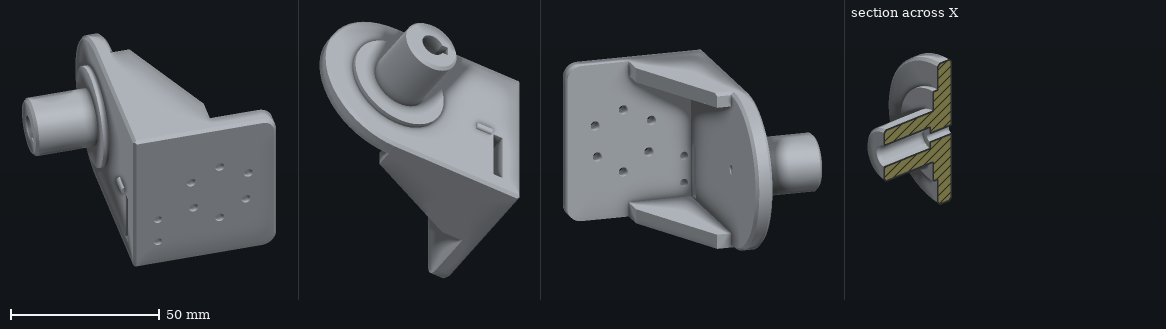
import cadquery as cq

EDGE_CHAMFER = 1.0

PLATE_RADIUS = 27.5
PLATE_THICKNESS = 6.0
RIGHT_X = 49.5
HEIGHT = 2 * PLATE_RADIUS

WALL_THICKNESS = 6.0
WALL_DEPTH = 50.0
WALL_CORNER_RADIUS = 5.0
WALL_INNER_X = RIGHT_X - WALL_THICKNESS

RIB_THICKNESS = 5.0
RIB_LOW_Y = 11.0
RIB_HIGH_Y = 28.2
RIB_SHOULDER_X = 35.5

FLANGE_DIAMETER = 35.0
FLANGE_THICKNESS = 2.0
SHAFT_DIAMETER = 20.0
SHAFT_END_Y = -23.4

BORE_DIAMETER = 8.2
BORE_DEPTH = 20.0
KEY_REACH = 6.0
KEY_WIDTH = 3.4
THROUGH_DIAMETER = 3.3

WINDOW_LEFT_X = 38.5
WINDOW_WIDTH = 3.6
WINDOW_TOP_Z = -3.3
WINDOW_HEIGHT = 18.6
BEAD_LEFT_X = 31.5
BEAD_LENGTH = 6.0
BEAD_RADIUS = 1.25
BEAD_Z = -2.85

SCREW_DIAMETER = 3.2
SCREW_CENTRES = [
    (30.1, 10.5),
    (40.1, 5.8),
    (20.1, 5.8),
    (39.3, -5.3),
    (21.0, -5.3),
    (30.1, -11.5),
]
PIN_DIAMETER = 2.8
PIN_CENTRES = [(8.5, -7.9), (8.5, -17.5)]


def box(x_min, x_max, y_min, y_max, z_min, z_max):
    size = (x_max - x_min, y_max - y_min, z_max - z_min)
    return cq.Workplane("XY").box(*size, centered=False).translate((x_min, y_min, z_min))


def cylinder_along_y(diameter, y_start, y_end):
    plane = cq.Workplane("XZ", origin=(0, y_end, 0))
    return plane.circle(diameter / 2).extrude(y_end - y_start)


def make_round_end():
    disc = cylinder_along_y(HEIGHT, 0, PLATE_THICKNESS).edges().chamfer(EDGE_CHAMFER)
    left_half = box(-PLATE_RADIUS, 0, 0, PLATE_THICKNESS, -PLATE_RADIUS, PLATE_RADIUS)
    return disc.intersect(left_half)


def make_bracket():
    """Return the square end of the plate, the wall and the two ribs, cut from one block."""
    block = box(0, RIGHT_X, 0, WALL_DEPTH, -PLATE_RADIUS, PLATE_RADIUS)
    block = block.edges("|X and >Y").fillet(WALL_CORNER_RADIUS)
    block = block.faces(">X").edges().chamfer(EDGE_CHAMFER)
    block = block.edges("|X and <Y").chamfer(EDGE_CHAMFER)
    profile = (
        cq.Workplane("XY", origin=(0, 0, -PLATE_RADIUS))
        .polyline([
            (0, 0),
            (RIGHT_X, 0),
            (RIGHT_X, WALL_DEPTH),
            (WALL_INNER_X, WALL_DEPTH),
            (WALL_INNER_X, RIB_HIGH_Y),
            (RIB_SHOULDER_X, RIB_HIGH_Y),
            (0, RIB_LOW_Y),
        ])
        .close()
        .extrude(HEIGHT)
    )
    block = block.intersect(profile)
    block = block.faces("<X").edges("|Y and >Z").chamfer(EDGE_CHAMFER)
    rib_inner_z = PLATE_RADIUS - RIB_THICKNESS
    cavity = box(0, WALL_INNER_X, PLATE_THICKNESS, WALL_DEPTH, -rib_inner_z, rib_inner_z)
    plate_end = box(0, WALL_INNER_X, 0, PLATE_THICKNESS - EDGE_CHAMFER, -PLATE_RADIUS, PLATE_RADIUS)
    plate_end = plate_end.edges("|X and <Y").chamfer(EDGE_CHAMFER)
    return block.cut(cavity).union(plate_end)


def make_shaft():
    flange = cylinder_along_y(FLANGE_DIAMETER, -FLANGE_THICKNESS, 0)
    shaft = cylinder_along_y(SHAFT_DIAMETER, SHAFT_END_Y, 0).faces("<Y").chamfer(EDGE_CHAMFER)
    return flange.union(shaft)


def make_bore():
    bore_end_y = SHAFT_END_Y + BORE_DEPTH
    bore = cylinder_along_y(BORE_DIAMETER, SHAFT_END_Y, bore_end_y)
    keyway = box(0, KEY_REACH, SHAFT_END_Y, bore_end_y, -KEY_WIDTH / 2, KEY_WIDTH / 2)
    through_hole = cylinder_along_y(THROUGH_DIAMETER, SHAFT_END_Y, PLATE_THICKNESS)
    return bore.union(keyway).union(through_hole)


def make_bead():
    return cq.Workplane("YZ", origin=(BEAD_LEFT_X, 0, BEAD_Z)).circle(BEAD_RADIUS).extrude(BEAD_LENGTH)


def make_window():
    window_right_x = WINDOW_LEFT_X + WINDOW_WIDTH
    window_bottom_z = WINDOW_TOP_Z - WINDOW_HEIGHT
    return box(WINDOW_LEFT_X, window_right_x, 0, PLATE_THICKNESS, window_bottom_z, WINDOW_TOP_Z)


def make_wall_holes(centres, diameter):
    plane = cq.Workplane("YZ", origin=(WALL_INNER_X, 0, 0))
    return plane.pushPoints(centres).circle(diameter / 2).extrude(WALL_THICKNESS)


result = make_bracket().union(make_round_end()).union(make_shaft()).union(make_bead())
result = result.cut(make_bore()).cut(make_window())
result = result.cut(make_wall_holes(SCREW_CENTRES, SCREW_DIAMETER))
result = result.cut(make_wall_holes(PIN_CENTRES, PIN_DIAMETER))